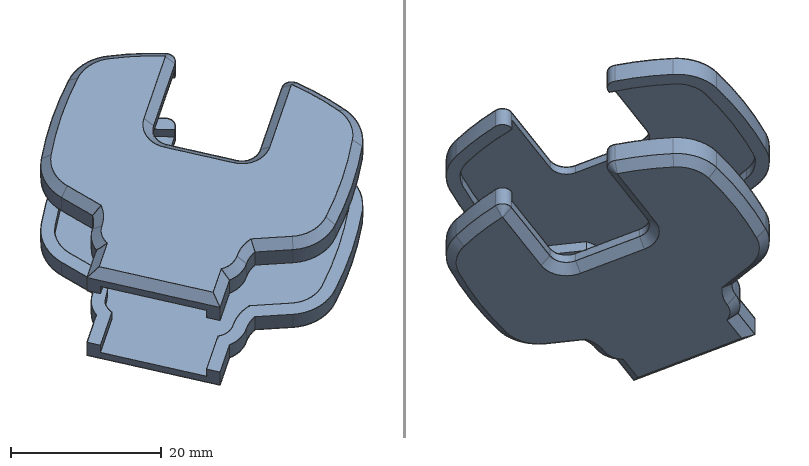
import cadquery as cq


half_width = 41.25 / 2
crown_y = 15.55
shoulder = (19.63, 10.25)
hip = (19.55, -10.7)
chin = (6.2, -15.6)
waist_half_width = 10.6
waist_y = -15.9
tab_half_width = 9.15
tab_end_y = -23.8
neck_radius = 4.3
corner_radius = 6.6

slot_half_width = 7.35
slot_floor_y = 0.1
slot_corner_radius = 2.5
tip_radius = 1.35

total_height = 19.8
plate_thickness = 4.12
chamfer_height = 1.2
chamfer_width = 1.3
pocket_depth = 1.6
wall = 1.85


def mirrored(point):
    return (-point[0], point[1])


def round_corners(body, corner, radius):
    """Fillet the upright edges nearest to a corner and to its mirror image."""
    for x, y in (corner, mirrored(corner)):
        nearest_edge = cq.selectors.NearestToPointSelector((x, y, 0))
        body = body.edges("|Z").edges(nearest_edge).fillet(radius)
    return body


def make_head(inset, height):
    """Broad upper part without its slot, its outline moved inwards by inset."""
    outline = (
        cq.Workplane("XY")
        .moveTo(*chin)
        .lineTo(*hip)
        .threePointArc((half_width, 0), shoulder)
        .threePointArc((0, crown_y), mirrored(shoulder))
        .threePointArc((-half_width, 0), mirrored(hip))
        .lineTo(*mirrored(chin))
        .close()
    )
    if inset > 0:
        outline = outline.offset2D(-inset)
    head = outline.extrude(height)
    head = round_corners(head, shoulder, corner_radius - inset)
    return round_corners(head, hip, corner_radius - inset)


def make_neck(inset, height):
    """Quarter arcs, hollow above the waist and bulged below it, moved inwards by inset."""
    hollow_radius = neck_radius + inset
    bulge_radius = neck_radius - inset
    waist = (waist_half_width - inset, waist_y)
    hollow_end = (waist_half_width + neck_radius, waist_y + hollow_radius)
    bulge_end = (waist_half_width - neck_radius, waist_y - bulge_radius)
    return (
        cq.Workplane("XY")
        .moveTo(*mirrored(bulge_end))
        .lineTo(*bulge_end)
        .radiusArc(waist, -bulge_radius)
        .radiusArc(hollow_end, hollow_radius)
        .lineTo(*mirrored(hollow_end))
        .radiusArc(mirrored(waist), hollow_radius)
        .radiusArc(mirrored(bulge_end), -bulge_radius)
        .close()
        .extrude(height)
    )


def make_tab(inset, height):
    """Straight tab, narrowed by inset on each side and running up into the neck."""
    tab_length = waist_y - tab_end_y
    return (
        cq.Workplane("XY", origin=(0, tab_end_y + tab_length / 2, 0))
        .rect(2 * (tab_half_width - inset), tab_length)
        .extrude(height)
    )


def make_paddle(inset, height):
    """Head, neck and tab in one, standing on Z = 0, with its sides moved inwards by inset."""
    paddle = make_head(inset, height).union(make_neck(inset, height))
    return paddle.union(make_tab(inset, height))


def cut_slot(plate):
    """Cut the crown slot, then round its floor corners and its open ends."""
    slot = (
        cq.Workplane("XY")
        .moveTo(-slot_half_width, slot_floor_y)
        .lineTo(slot_half_width, slot_floor_y)
        .lineTo(slot_half_width, crown_y)
        .lineTo(-slot_half_width, crown_y)
        .close()
        .extrude(plate_thickness)
    )
    plate = plate.cut(slot)
    plate = round_corners(plate, (slot_half_width, slot_floor_y), slot_corner_radius)
    return round_corners(plate, (slot_half_width, crown_y), tip_radius)


def make_plate():
    """One plate, chamfered face up, its pocket open below, into the slot and at the tab end."""
    plate = cut_slot(make_paddle(0, plate_thickness))
    plate = plate.faces(">Z").chamfer(chamfer_height, chamfer_width)
    pocket = make_paddle(wall, pocket_depth)
    return plate.cut(pocket)


open_face_z = total_height / 2 - plate_thickness
upper_plate = make_plate().translate((0, 0, open_face_z))
lower_plate = upper_plate.mirror("XY")

result = cq.Compound.makeCompound([upper_plate.val(), lower_plate.val()])